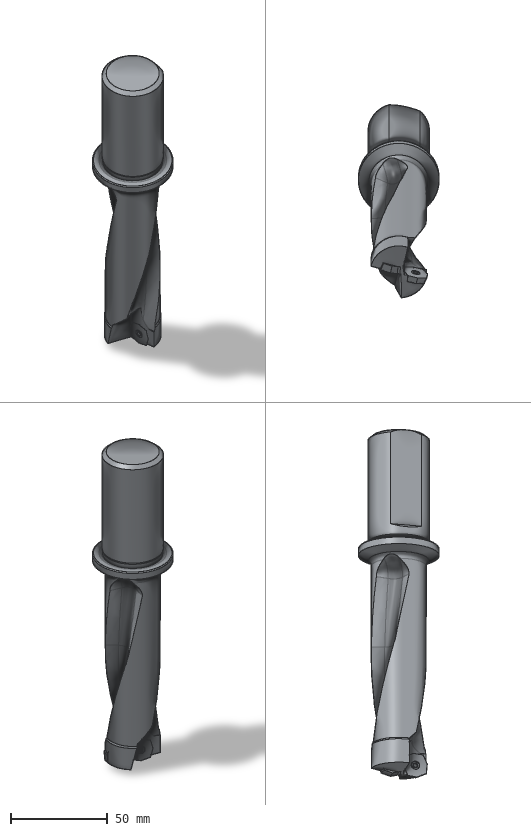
import cadquery as cq
import math


total_length = 184.0
shank_radius = 31.8 / 2
shank_chamfer_width = 2.2
shank_chamfer_height = 1.8
flat_distance = 13.6
flat_bottom = 132.5
flat_runout = 1.7
neck_radius = 31.0 / 2
neck_chamfer_top = 126.7
neck_top = 125.8
recess_radius = 17.5
recess_depth = 0.5
flange_radius = 41.8 / 2
flange_top = 124.0
flange_bottom = 120.0
flange_chamfer = 0.5
flange_cone_radius = 15.5
flange_cone_bottom = 117.4

shaft_radius = 14.25
shaft_top = 114.0
flare_middle_offset = 0.33
head_radius = 14.7
head_top = 16.2
head_step_top = 17.1
tip_center_height = 1.0
tip_rim_height = 3.5

flute_corner = 2.4
flute_fillet = 5.5
flute_reach = 15.0
flute_bottom = 13.8
flute_bend = 69.9
flute_end = 106.0
lower_twist = 1.142
upper_twist = 0.8427
flute_end_angle = 238.0
flute_count = 2

cutter_overrun = 1.8
pocket_roof = 28.7
front_wall = -1.1
front_wall_lean = -6.6
front_wall_top = 18.4
rear_wall = 1.5
web_edge = 3.0
web_thickness = 3.7
rear_wall_top = 16.7

insert_corners = 8
insert_corner_radius = 7.2
insert_side_radius = 6.5
insert_thickness = 3.7
insert_relief = 11.0
insert_hole_radius = 3.3 / 2
insert_seat_radius = 4.5 / 2
seat_depth = 1.0
seat_cone_depth = 0.7
center_insert_x = 4.5
center_insert_z = insert_side_radius
outer_insert_x = -9.0
outer_insert_z = 7.2
outer_insert_turn = 10.0
screw_head_radius = 4.2 / 2
screw_shank_radius = 3.0 / 2
screw_head_depth = 0.7
screw_length = 8.3
socket_radius = 2.4 / 2
socket_depth = 1.1


def make_blank():
    """Turned shank, flange, shaft and head as one solid of revolution."""
    flare_middle = (shaft_radius + flare_middle_offset, (shaft_top + flange_cone_bottom) / 2)
    return (
        cq.Workplane("XZ")
        .moveTo(0, tip_center_height)
        .lineTo(head_radius, tip_rim_height)
        .lineTo(head_radius, head_top)
        .lineTo(shaft_radius, head_step_top)
        .lineTo(shaft_radius, shaft_top)
        .threePointArc(flare_middle, (flange_cone_radius, flange_cone_bottom))
        .lineTo(flange_radius, flange_bottom)
        .lineTo(flange_radius, flange_top - flange_chamfer)
        .lineTo(flange_radius - flange_chamfer, flange_top)
        .lineTo(recess_radius, flange_top)
        .lineTo(neck_radius, flange_top - recess_depth)
        .lineTo(neck_radius, neck_top)
        .lineTo(shank_radius, neck_chamfer_top)
        .lineTo(shank_radius, total_length - shank_chamfer_height)
        .lineTo(shank_radius - shank_chamfer_width, total_length)
        .lineTo(0, total_length)
        .close()
        .revolve(360, (0, 0, 0), (0, 1, 0))
    )


def shank_flat():
    """Cutter for the clamping flat on the +Y side, with a sloping lower end."""
    return (
        cq.Workplane("YZ")
        .polyline([
            (flat_distance, flat_bottom),
            (shank_radius, flat_bottom - flat_runout),
            (flange_radius, flat_bottom - flat_runout),
            (flange_radius, total_length),
            (flat_distance, total_length),
        ])
        .close()
        .extrude(shank_radius, both=True)
    )


def flute_section(height, angle):
    """Right-angled notch with a rounded corner, opening toward the given angle."""
    tangent = flute_fillet / math.sqrt(2)
    tangent_x = flute_corner + tangent
    floor_x = flute_corner + flute_fillet * (math.sqrt(2) - 1)
    half_width = flute_reach - flute_corner
    direction = math.radians(angle)
    plane = cq.Plane(
        origin=(0, 0, height),
        xDir=(math.cos(direction), math.sin(direction), 0),
        normal=(0, 0, 1),
    )
    return (
        cq.Workplane(plane)
        .moveTo(flute_reach, -half_width)
        .lineTo(tangent_x, -tangent)
        .threePointArc((floor_x, 0), (tangent_x, tangent))
        .lineTo(flute_reach, half_width)
        .close()
    )


def flute_cutters(end_angle):
    """Lower twist, upper twist and curved run-out of one flute."""
    upper_length = flute_end - flute_bend
    lower_length = flute_bend - flute_bottom
    upper_turn = upper_length * upper_twist
    lower_turn = lower_length * lower_twist
    bend_angle = end_angle - upper_turn
    bottom_angle = bend_angle - lower_turn
    lower = flute_section(flute_bottom, bottom_angle).twistExtrude(lower_length, lower_turn)
    upper = flute_section(flute_bend, bend_angle).twistExtrude(upper_length, upper_turn)
    runout = flute_section(flute_end, end_angle).revolve(
        90, (flute_reach, 0, 0), (flute_reach, 1, 0)
    )
    return [lower, upper, runout]


def chip_pocket(sections, wall_top):
    """Cutter on the -Y side of the diametral plane, to the right of a wall.

    Each section is (distance from the plane, x at the wall's foot, x at the wall's top).
    Above the wall the cutter rises at 45 degrees to the roof.
    """
    reach = head_radius + cutter_overrun
    foot = -cutter_overrun
    pocket = cq.Workplane("XZ")
    previous_distance = 0
    for distance, foot_x, top_x in sections:
        pocket = (
            pocket.workplane(offset=distance - previous_distance)
            .polyline([
                (foot_x, foot),
                (top_x, wall_top),
                (top_x + pocket_roof - wall_top, pocket_roof),
                (reach, pocket_roof),
                (reach, foot),
            ])
            .close()
        )
        previous_distance = distance
    return pocket.loft(ruled=True)


def front_pocket():
    """Pocket in front of the center insert, with a leaning wall."""
    sections = [
        (0, front_wall, front_wall),
        (head_radius + cutter_overrun, front_wall_lean, front_wall),
    ]
    return chip_pocket(sections, front_wall_top)


def rear_pocket():
    """Pocket in front of the outer insert, with an upright wall and a web at its root."""
    sections = [
        (0, web_edge, web_edge),
        (web_thickness, rear_wall, rear_wall),
        (head_radius + cutter_overrun, rear_wall, rear_wall),
    ]
    pocket = chip_pocket(sections, rear_wall_top)
    return pocket.rotate((0, 0, 0), (0, 0, 1), 180)


def insert_blank():
    """Tapered eight-cornered plate; its top face lies at y = 0, facing -Y."""
    corner_step = 360 / insert_corners
    points = []
    for corner in range(insert_corners):
        radius = insert_side_radius if corner % 2 == 0 else insert_corner_radius
        angle = math.radians(corner_step * corner)
        points.append((radius * math.cos(angle), radius * math.sin(angle)))
    return (
        cq.Workplane("XZ")
        .polyline(points)
        .close()
        .extrude(-insert_thickness, taper=insert_relief)
    )


def make_insert():
    """Cutting insert with a countersunk screw hole."""
    hole = (
        cq.Workplane("XY")
        .polyline([
            (0, 0),
            (insert_seat_radius, 0),
            (insert_seat_radius, seat_depth),
            (insert_hole_radius, seat_depth + seat_cone_depth),
            (insert_hole_radius, insert_thickness),
            (0, insert_thickness),
        ])
        .close()
        .revolve(360, (0, 0, 0), (0, 1, 0))
    )
    return insert_blank().cut(hole)


def make_screw():
    """Countersunk screw with a round socket, head flush with the insert face."""
    return (
        cq.Workplane("XY")
        .polyline([
            (0, socket_depth),
            (socket_radius, socket_depth),
            (socket_radius, 0),
            (screw_head_radius, 0),
            (screw_head_radius, screw_head_depth),
            (screw_shank_radius, screw_head_depth + seat_cone_depth),
            (screw_shank_radius, screw_length),
            (0, screw_length),
        ])
        .close()
        .revolve(360, (0, 0, 0), (0, 1, 0))
    )


def screw_hole():
    """Cutter for the screw's hole in the drill body, below the insert."""
    return cq.Workplane("XZ").circle(screw_shank_radius).extrude(-screw_length)


def place_center(shape):
    """Move to the center station, facing -Y."""
    return shape.translate((center_insert_x, 0, center_insert_z))


def place_outer(shape):
    """Turn round to face +Y and move to the outer station."""
    return (
        shape.rotate((0, 0, 0), (0, 1, 0), -outer_insert_turn)
        .rotate((0, 0, 0), (0, 0, 1), 180)
        .translate((outer_insert_x, 0, outer_insert_z))
    )


stations = [place_center, place_outer]

drill_body = make_blank().cut(shank_flat())
for index in range(flute_count):
    for cutter in flute_cutters(flute_end_angle + index * 360 / flute_count):
        drill_body = drill_body.cut(cutter)
drill_body = drill_body.cut(front_pocket()).cut(rear_pocket())
for place in stations:
    drill_body = drill_body.cut(place(insert_blank()))
    drill_body = drill_body.cut(place(screw_hole()))

inserts = [place(make_insert()).val() for place in stations]
screws = [place(make_screw()).val() for place in stations]

result = cq.Compound.makeCompound([*drill_body.vals(), *inserts, *screws])